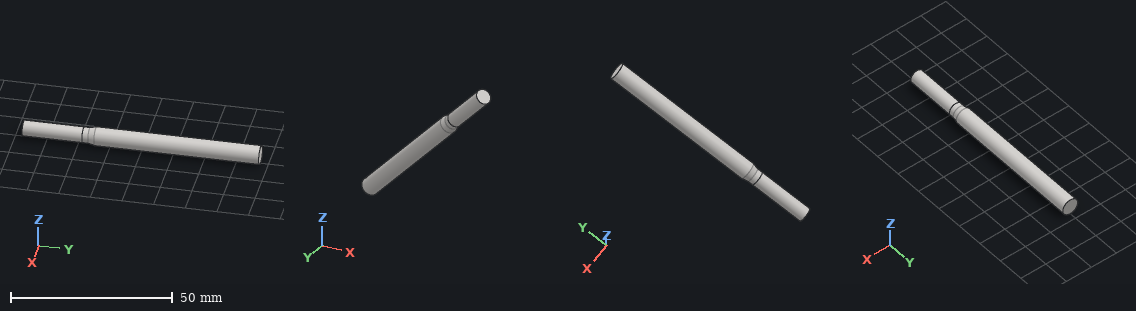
import cadquery as cq

TOTAL_LENGTH = 75
SHANK_DIAMETER = 6
TIP_DIAMETER = 5.0
TIP_LENGTH = 19.0
NECK_LENGTH = 1.9
TAPER_LENGTH = 2.0

shank_radius = SHANK_DIAMETER / 2
tip_radius = TIP_DIAMETER / 2
neck_end = TIP_LENGTH + NECK_LENGTH
taper_end = neck_end + TAPER_LENGTH


def make_tip():
    """Plain cylindrical working end."""
    return cq.Workplane("XZ").circle(tip_radius).extrude(-TIP_LENGTH)


def make_shank():
    """Turned shank: a short neck against the tip, a taper and the full-width rod."""
    return (
        cq.Workplane("XY")
        .moveTo(0, TIP_LENGTH)
        .lineTo(tip_radius, TIP_LENGTH)
        .lineTo(tip_radius, neck_end)
        .lineTo(shank_radius, taper_end)
        .lineTo(shank_radius, TOTAL_LENGTH)
        .lineTo(0, TOTAL_LENGTH)
        .close()
        .revolve(360, (0, 0, 0), (0, 1, 0))
    )


tip = make_tip()
shank = make_shank()

result = cq.Compound.makeCompound([tip.val(), shank.val()])